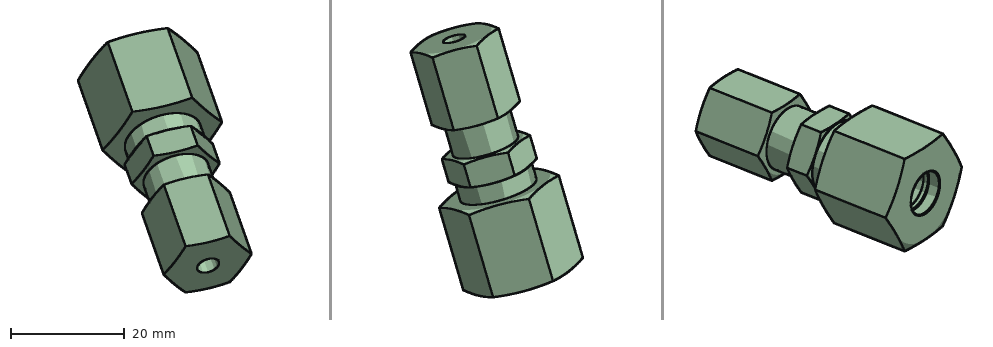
import cadquery as cq
import math


total_length = 45.3
large_nut_length = 16.5
body_hex_start = 19.85
body_hex_end = 24.9
small_nut_start = 30.8

large_across_flats = 19.0
small_across_flats = 14.0
collar_diameter = 14.0
neck_diameter = 12.0
corner_chamfer_angle = 15.0
small_face_inset = 0.1

passage_diameter = 4.0
socket_diameter = 8.1
mouth_chamfer = 0.15
groove_start = 2.4
groove_width = 0.2
groove_diameter = 8.3
inner_socket_start = 3.55
inner_socket_diameter = 8.06
socket_depth = 10.0


def revolve_about_x(points):
    """Revolve an outline of (x, radius) points about the X axis."""
    return cq.Workplane("XY").polyline(points).close().revolve(360, (0, 0, 0), (1, 0, 0))


def cylinder(start, end, diameter):
    return cq.Workplane("YZ").workplane(offset=start).circle(diameter / 2).extrude(end - start)


def chamfered_hexagon(start, end, across_flats, face_inset=0.0):
    """Hexagonal bar with corners on the Y axis and conically turned ends."""
    corner_radius = across_flats / 2 / math.cos(math.radians(30))
    face_radius = across_flats / 2 - face_inset
    chamfer_length = (corner_radius - face_radius) * math.tan(math.radians(corner_chamfer_angle))
    hexagon = (
        cq.Workplane("YZ").workplane(offset=start).polygon(6, 2 * corner_radius).extrude(end - start)
    )
    turned_envelope = revolve_about_x([
        (start, 0),
        (start, face_radius),
        (start + chamfer_length, corner_radius),
        (end - chamfer_length, corner_radius),
        (end, face_radius),
        (end, 0),
    ])
    return hexagon.intersect(turned_envelope)


def tube_socket():
    """Stepped tube socket, open at the face of the large nut."""
    groove_end = groove_start + groove_width
    return revolve_about_x([
        (0, 0),
        (0, socket_diameter / 2 + mouth_chamfer),
        (mouth_chamfer, socket_diameter / 2),
        (groove_start, socket_diameter / 2),
        (groove_start, groove_diameter / 2),
        (groove_end, groove_diameter / 2),
        (groove_end, socket_diameter / 2),
        (inner_socket_start, socket_diameter / 2),
        (inner_socket_start, inner_socket_diameter / 2),
        (socket_depth, inner_socket_diameter / 2),
        (socket_depth, 0),
    ])


large_nut = chamfered_hexagon(0, large_nut_length, large_across_flats)
collar = cylinder(large_nut_length, body_hex_start, collar_diameter)
body_hexagon = chamfered_hexagon(body_hex_start, body_hex_end, small_across_flats, small_face_inset)
neck = cylinder(body_hex_end, small_nut_start, neck_diameter)
small_nut = chamfered_hexagon(small_nut_start, total_length, small_across_flats, small_face_inset)

outside = large_nut.union(collar).union(body_hexagon).union(neck).union(small_nut)
passage = cylinder(0, total_length, passage_diameter)
result = outside.cut(tube_socket()).cut(passage)